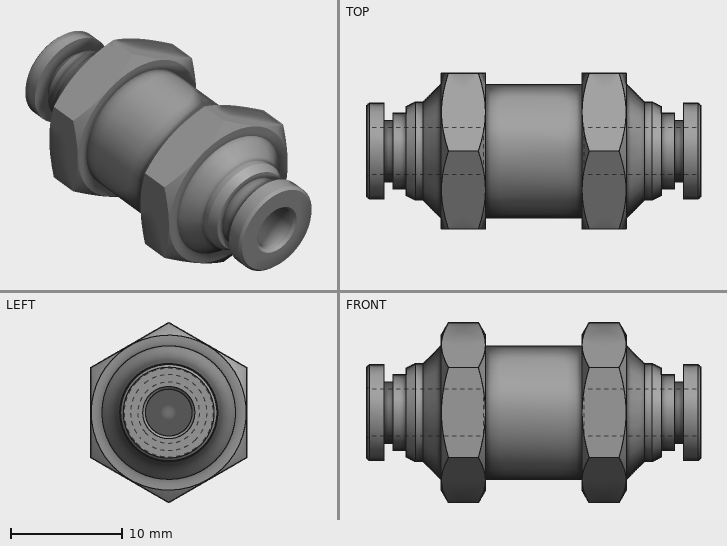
import cadquery as cq
import math

length = 30.0
half_length = length / 2

collar_radius = 4.32
collar_width = 1.55
collar_chamfer = 0.25

neck_radius = 2.75
neck_width = 0.78
sleeve_radius = 3.42
sleeve_width = 1.2

taper_start_radius = 4.0
taper_width = 0.85
land_radius = 4.4
land_width = 0.7
barrel_radius = 6.0
cone_width = barrel_radius - land_radius

across_flats = 14.0
nut_width = 4.0
nut_outer_offset = 6.7
nut_face_radius = 6.95
nut_chamfer_angle = 30.0

bore_radius = 2.1
bore_depth = 10.5
bore_chamfer = 0.25


def revolve_about_x(points):
    """Revolve a closed outline of (x, radius) points about the X axis."""
    return cq.Workplane("XY").polyline(points).close().revolve(360, (0, 0, 0), (1, 0, 0))


def half_body():
    """Solid turned body from the -X end to the middle of the part."""
    collar_back = -half_length + collar_width
    neck_end = collar_back + neck_width
    sleeve_end = neck_end + sleeve_width
    taper_end = sleeve_end + taper_width
    land_end = taper_end + land_width
    cone_end = land_end + cone_width
    return revolve_about_x([
        (-half_length, 0),
        (-half_length, collar_radius - collar_chamfer),
        (-half_length + collar_chamfer, collar_radius),
        (collar_back, collar_radius),
        (collar_back, neck_radius),
        (neck_end, neck_radius),
        (neck_end, sleeve_radius),
        (sleeve_end, sleeve_radius),
        (sleeve_end, taper_start_radius),
        (taper_end, land_radius),
        (land_end, land_radius),
        (cone_end, barrel_radius),
        (0, barrel_radius),
        (0, 0),
    ])


def hex_nut():
    """Hex nut near the -X end, with its corners chamfered on both faces."""
    outer_face = -half_length + nut_outer_offset
    inner_face = outer_face + nut_width
    across_corners = across_flats / math.cos(math.radians(30))
    corner_radius = across_corners / 2
    chamfer_width = (corner_radius - nut_face_radius) * math.tan(math.radians(nut_chamfer_angle))
    prism = (
        cq.Workplane("YZ", origin=(outer_face, 0, 0))
        .transformed(rotate=(0, 0, 90))
        .polygon(6, across_corners)
        .extrude(nut_width)
    )
    chamfer_envelope = revolve_about_x([
        (outer_face, 0),
        (outer_face, nut_face_radius),
        (outer_face + chamfer_width, corner_radius),
        (inner_face - chamfer_width, corner_radius),
        (inner_face, nut_face_radius),
        (inner_face, 0),
    ])
    return prism.intersect(chamfer_envelope)


def tube_bore():
    """Blind bore from the -X end, with a chamfered mouth."""
    return revolve_about_x([
        (-half_length, 0),
        (-half_length, bore_radius + bore_chamfer),
        (-half_length + bore_chamfer, bore_radius),
        (-half_length + bore_depth, bore_radius),
        (-half_length + bore_depth, 0),
    ])


half_union = half_body().union(hex_nut()).cut(tube_bore())
result = half_union.union(half_union.mirror("YZ"))